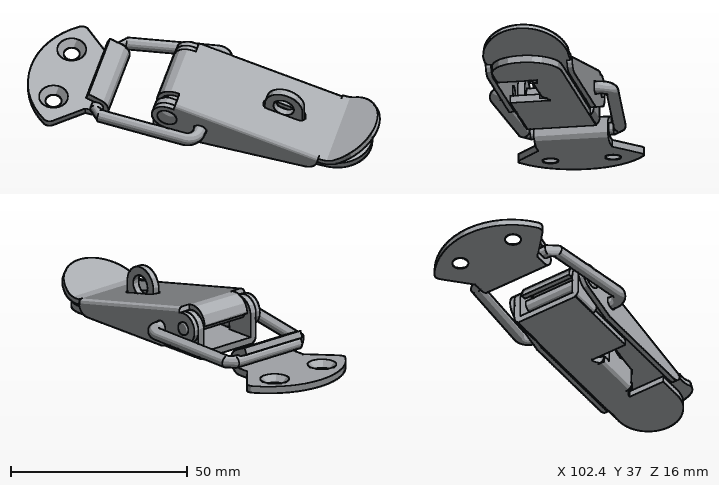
import cadquery as cq
import math

total_length = 102.4
total_width = 37.0
total_height = 16.0

plate_thickness = 2.0
lever_thickness = 1.5

pin_x = 43.8
pin_z = 8.7
pin_diameter = 3.8
pin_head_diameter = 5.7
pin_head_height = 1.0
pin_tail_length = 0.6
pin_tail_round = 0.3

lever_half_width = 12.5
lever_slope = 12.0
lug_radius = 4.5
channel_start_x = 46.1
channel_end = 44.2
wall_bottom_z = 1.0
wall_bottom_slope = 18.0
wall_end_round = 3.6
roll_radius = 5.1
roll_tangent = 0.5
roll_left_y = 8.5
roll_right_y = -7.7
eye_slot_length = 12.4
eye_slot_width = 3.5
paddle_slope = 28.0
paddle_bend_radius = 6.1
paddle_half_width = 12.2
paddle_straight = 0.2

base_front_x = pin_x - lug_radius
base_end_x = 100.4
base_half_width = 9.9
eye_x = 74.9
eye_radius = 5.5
eye_hole_diameter = 6.0
eye_root_start_x = 66.9
eye_root_end_x = 80.8
eye_root_round = 2.6

strike_corner_y = 18.6
strike_corner_x = 10.4
strike_tip_round = 2.0
strike_neck_x = 19.2
strike_neck_half_width = 10.7
hook_inner_radius = 1.7
hook_x = 22.2
hook_slope = 23.0
hook_tip_x = 20.2
screw_x = 9.3
screw_y = 9.0
screw_diameter = 4.5
screw_head_diameter = 8.2
screw_sink_angle = 90.0

wire_diameter = 3.5
bail_x = 22.7
bail_z = 4.2
bail_length = 30.9
bail_tilt = 4.4
bail_spread = 6.4
bail_elbow_radius = 1.8
bail_hole_diameter = 3.8
bail_hook_radius = 3.2

lever_inner_y = lever_half_width - lever_thickness


def polar(centre, radius, degrees):
    """Point at an angle around a centre."""
    angle = math.radians(degrees)
    return (centre[0] + radius * math.cos(angle), centre[1] + radius * math.sin(angle))


def side_sketch(y):
    """XZ sketch plane at a given Y; positive extrusion runs toward -Y."""
    return cq.Workplane("XZ", origin=(0, y, 0))


def cylinder_y(x, z, diameter, y_low, y_high):
    return side_sketch(y_high).center(x, z).circle(diameter / 2).extrude(y_high - y_low)


def lever_point(along, out):
    """XZ point measured from the pin: along the sloping panel, and out from it."""
    along_point = polar((pin_x, pin_z), along, -lever_slope)
    return polar(along_point, out, 90 - lever_slope)


panel_out = lug_radius + lever_thickness


def lever_walls():
    """Two side walls, rounded about the pin and tapering toward the free end."""
    pin_centre = (pin_x, pin_z)
    lower_tangent = polar(pin_centre, lug_radius, 270 - wall_bottom_slope)
    drop = lower_tangent[1] - wall_bottom_z
    bottom_start_x = lower_tangent[0] + drop / math.tan(math.radians(wall_bottom_slope))
    end_top = lever_point(channel_end, lug_radius)
    end_fall = end_top[1] - wall_bottom_z
    bottom_end_x = end_top[0] - end_fall * math.tan(math.radians(lever_slope))
    walls = (
        side_sketch(lever_half_width)
        .moveTo(*lower_tangent)
        .lineTo(bottom_start_x, wall_bottom_z)
        .lineTo(bottom_end_x, wall_bottom_z)
        .lineTo(*end_top)
        .lineTo(*lever_point(0, lug_radius))
        .threePointArc((pin_x - lug_radius, pin_z), lower_tangent)
        .close()
        .extrude(2 * lever_half_width)
    )
    end_corner = cq.selectors.NearestToPointSelector((bottom_end_x, 0, wall_bottom_z))
    walls = walls.edges(end_corner).fillet(wall_end_round)
    inside = cq.Workplane("XY").box(2 * total_length, 2 * lever_inner_y, 2 * total_length)
    return walls.cut(inside)


def lever_panel():
    """Sloping top panel with rounded long edges, and the tongue that leads to the roll."""
    start = (channel_start_x - lever_point(0, panel_out)[0]) / math.cos(math.radians(lever_slope))
    origin = lever_point(start, lug_radius)
    slope = math.radians(lever_slope)
    cross_plane = cq.Plane(
        origin=(origin[0], 0, origin[1]),
        xDir=(0, 1, 0),
        normal=(math.cos(slope), 0, -math.sin(slope)),
    )
    bend = lever_thickness
    panel = (
        cq.Workplane(cross_plane)
        .moveTo(-lever_half_width, 0)
        .radiusArc((-lever_inner_y, bend), bend)
        .lineTo(lever_inner_y, bend)
        .radiusArc((lever_half_width, 0), bend)
        .close()
        .extrude(channel_end - start)
    )
    tongue = (
        side_sketch(roll_left_y)
        .polyline([
            lever_point(roll_tangent, lug_radius),
            lever_point(start, lug_radius),
            lever_point(start, panel_out),
            lever_point(roll_tangent, panel_out),
        ])
        .close()
        .extrude(roll_left_y - roll_right_y)
    )
    return panel.union(tongue)


def lever_roll():
    """Front of the panel curled down over the pin."""
    centre = lever_point(roll_tangent, panel_out - roll_radius)
    inner_radius = roll_radius - lever_thickness
    start_angle = 90 - lever_slope
    middle_angle = (start_angle + 180) / 2
    return (
        side_sketch(roll_left_y)
        .moveTo(*polar(centre, roll_radius, start_angle))
        .threePointArc(polar(centre, roll_radius, middle_angle), polar(centre, roll_radius, 180))
        .lineTo(*polar(centre, inner_radius, 180))
        .threePointArc(polar(centre, inner_radius, middle_angle), polar(centre, inner_radius, start_angle))
        .close()
        .extrude(roll_left_y - roll_right_y)
    )


def lever_paddle():
    """Upward bend and round-ended blade at the free end of the lever."""
    centre = lever_point(channel_end, panel_out + paddle_bend_radius)
    outer_radius = paddle_bend_radius + lever_thickness
    start_angle = 270 - lever_slope
    end_angle = 270 + paddle_slope
    middle_angle = (start_angle + end_angle) / 2
    blade_start = polar(centre, paddle_bend_radius, end_angle)
    bend = (
        side_sketch(paddle_half_width)
        .moveTo(*polar(centre, paddle_bend_radius, start_angle))
        .threePointArc(polar(centre, paddle_bend_radius, middle_angle), blade_start)
        .lineTo(*polar(centre, outer_radius, end_angle))
        .threePointArc(polar(centre, outer_radius, middle_angle), polar(centre, outer_radius, start_angle))
        .close()
        .extrude(2 * paddle_half_width)
    )
    slope = math.radians(paddle_slope)
    reach = total_length - polar(centre, outer_radius, end_angle)[0]
    blade_length = reach / math.cos(slope)
    blade_plane = cq.Plane(
        origin=(blade_start[0], 0, blade_start[1]),
        xDir=(math.cos(slope), 0, math.sin(slope)),
        normal=(-math.sin(slope), 0, math.cos(slope)),
    )
    blade = (
        cq.Workplane(blade_plane)
        .moveTo(0, -paddle_half_width)
        .lineTo(paddle_straight, -paddle_half_width)
        .threePointArc((blade_length, 0), (paddle_straight, paddle_half_width))
        .lineTo(0, paddle_half_width)
        .close()
        .extrude(-lever_thickness)
    )
    return bend.union(blade)


def make_lever():
    lever = lever_walls().union(lever_panel()).union(lever_roll()).union(lever_paddle())
    slot = (
        cq.Workplane("XY", origin=(eye_x, 0, wall_bottom_z))
        .slot2D(eye_slot_length, eye_slot_width)
        .extrude(total_height)
    )
    pin_hole = cylinder_y(pin_x, pin_z, pin_diameter, -lever_half_width, lever_half_width)
    tilt = math.radians(bail_tilt)
    leg_x = bail_x + bail_length * math.cos(tilt)
    leg_z = bail_z + bail_length * math.sin(tilt)
    bail_hole = cylinder_y(leg_x, leg_z, bail_hole_diameter, -lever_half_width, lever_half_width)
    return lever.cut(slot).cut(pin_hole).cut(bail_hole)


notch_back_y = eye_root_round - plate_thickness / 2


def base_floor():
    """Flat round-ended floor, notched from one side back to the padlock eye's root."""
    arc_x = base_end_x - base_half_width
    floor = (
        cq.Workplane("XY")
        .moveTo(base_front_x, -base_half_width)
        .lineTo(arc_x, -base_half_width)
        .threePointArc((base_end_x, 0), (arc_x, base_half_width))
        .lineTo(base_front_x, base_half_width)
        .close()
        .extrude(plate_thickness)
    )
    notch_length = eye_root_end_x - eye_root_start_x + 2 * eye_root_round
    notch = (
        cq.Workplane("XY", origin=(eye_root_start_x - eye_root_round, notch_back_y, 0))
        .rect(notch_length, -total_width, centered=False)
        .extrude(plate_thickness)
    )
    return floor.cut(notch)


def base_lugs():
    """U-shaped front end whose two walls carry the pin."""
    walls = (
        side_sketch(lever_inner_y)
        .moveTo(base_front_x, 0)
        .lineTo(pin_x + lug_radius, 0)
        .lineTo(pin_x + lug_radius, pin_z)
        .threePointArc((pin_x, pin_z + lug_radius), (base_front_x, pin_z))
        .close()
        .extrude(2 * lever_inner_y)
        .edges("<Z and |X")
        .fillet(plate_thickness)
    )
    inside_width = 2 * (lever_inner_y - plate_thickness)
    inside = (
        cq.Workplane("XY", origin=(pin_x, 0, plate_thickness))
        .rect(4 * lug_radius, inside_width)
        .extrude(total_height)
    )
    return walls.cut(inside)


def eye_root():
    """Bend from the floor up into the eye, with a round-cornered web at either end."""
    half_thickness = plate_thickness / 2
    bend_centre = (half_thickness, plate_thickness)
    root = (
        cq.Workplane("YZ", origin=(eye_root_start_x, 0, 0))
        .moveTo(notch_back_y, 0)
        .lineTo(half_thickness, 0)
        .threePointArc(polar(bend_centre, plate_thickness, 225), (-half_thickness, plate_thickness))
        .lineTo(notch_back_y, plate_thickness)
        .close()
        .extrude(eye_root_end_x - eye_root_start_x)
    )
    for corner_x, outward in ((eye_root_start_x, -1), (eye_root_end_x, 1)):
        web_centre = (corner_x + outward * eye_root_round, -half_thickness)
        web = (
            cq.Workplane("XY")
            .moveTo(corner_x, notch_back_y)
            .lineTo(web_centre[0], notch_back_y)
            .threePointArc(
                polar(web_centre, eye_root_round, 90 + outward * 45),
                (corner_x, -half_thickness),
            )
            .close()
            .extrude(plate_thickness)
        )
        root = root.union(web)
    return root


def padlock_eye():
    """Upright round-topped eye, narrower than its root."""
    eye_z = total_height - eye_radius
    eye = (
        side_sketch(plate_thickness / 2)
        .moveTo(eye_x - eye_radius, plate_thickness)
        .lineTo(eye_x + eye_radius, plate_thickness)
        .lineTo(eye_x + eye_radius, eye_z)
        .threePointArc((eye_x, total_height), (eye_x - eye_radius, eye_z))
        .close()
        .extrude(plate_thickness)
    )
    return eye.cut(cylinder_y(eye_x, eye_z, eye_hole_diameter, -plate_thickness, plate_thickness))


def make_base():
    base = base_floor().union(base_lugs()).union(eye_root()).union(padlock_eye())
    return base.cut(cylinder_y(pin_x, pin_z, pin_diameter, -lever_inner_y, lever_inner_y))


def make_pin():
    """Shaft with a domed head on the -Y side and a rounded tail on the +Y side."""
    shaft_end_y = lever_half_width + pin_tail_length
    shaft = cylinder_y(pin_x, pin_z, pin_diameter, -lever_half_width, shaft_end_y)
    shaft = shaft.faces(">Y").edges().fillet(pin_tail_round)
    head_radius = pin_head_diameter / 2
    dome_radius = (head_radius**2 + pin_head_height**2) / (2 * pin_head_height)
    dome_centre_y = -lever_half_width - pin_head_height + dome_radius
    dome = cq.Workplane("XY", origin=(pin_x, dome_centre_y, pin_z)).sphere(dome_radius)
    head_zone = cylinder_y(
        pin_x, pin_z, pin_head_diameter, -lever_half_width - pin_head_height, -lever_half_width
    )
    return shaft.union(dome.intersect(head_zone))


def wire_section(centre, direction):
    """Round wire section at a point of the flat bail, square to the wire's direction."""
    plane = cq.Plane(origin=(*centre, 0), xDir=(0, 0, 1), normal=(*direction, 0))
    return cq.Workplane(plane).circle(wire_diameter / 2)


def make_bail():
    """Bail laid flat with its cross bar on the Y axis, then tilted into place."""
    spread = math.radians(bail_spread)
    arm_direction = (math.cos(spread), math.sin(spread))
    widest_y = (total_width - wire_diameter) / 2
    elbow_set = bail_elbow_radius * math.tan((math.pi / 2 - spread) / 2)
    hook_set = bail_hook_radius * math.tan((math.pi / 2 + spread) / 2)
    hook_end = (bail_length, widest_y - bail_hook_radius)
    leg_corner_y = hook_end[1] + hook_set
    bar_corner_y = leg_corner_y - bail_length * math.tan(spread)
    hook_start = (
        bail_length - hook_set * arm_direction[0],
        leg_corner_y - hook_set * arm_direction[1],
    )
    arm_start = (elbow_set * arm_direction[0], bar_corner_y + elbow_set * arm_direction[1])
    bar_end = (0, bar_corner_y - elbow_set)

    bar = wire_section((0, -bar_end[1]), (0, 1)).extrude(2 * bar_end[1])
    elbow_ends = [
        wire_section(bar_end, (0, 1)).val(),
        wire_section(arm_start, arm_direction).val(),
    ]
    elbow = cq.Workplane(cq.Solid.makeLoft(elbow_ends, True))
    arm_path = (
        cq.Workplane("XY")
        .moveTo(*arm_start)
        .lineTo(*hook_start)
        .tangentArcPoint(hook_end, relative=False)
        .lineTo(bail_length, lever_inner_y)
    )
    arm = wire_section(arm_start, arm_direction).sweep(arm_path)
    side = elbow.union(arm)
    bail = bar.union(side).union(side.mirror("XZ"))
    return bail.rotate((0, 0, 0), (0, 1, 0), -bail_tilt).translate((bail_x, 0, bail_z))


def strike_blade():
    """Flat fan-shaped plate with two countersunk screw holes."""
    outline = (
        cq.Workplane("XY")
        .moveTo(hook_x, -strike_neck_half_width)
        .lineTo(hook_x, strike_neck_half_width)
        .lineTo(strike_neck_x, strike_neck_half_width)
        .lineTo(strike_corner_x, strike_corner_y)
        .threePointArc((0, 0), (strike_corner_x, -strike_corner_y))
        .lineTo(strike_neck_x, -strike_neck_half_width)
        .close()
        .extrude(plate_thickness)
    )
    for side in (-1, 1):
        corner_point = (strike_corner_x, side * strike_corner_y, plate_thickness / 2)
        corner = cq.selectors.NearestToPointSelector(corner_point)
        outline = outline.edges(corner).fillet(strike_tip_round)
    screws = [(screw_x, -screw_y), (screw_x, screw_y)]
    return (
        outline.faces(">Z")
        .workplane(origin=(0, 0, 0))
        .pushPoints(screws)
        .cskHole(screw_diameter, screw_head_diameter, screw_sink_angle)
    )


def strike_hook():
    """Upturned end that curls back over the bail's cross bar."""
    outer_radius = hook_inner_radius + plate_thickness
    centre = (hook_x, outer_radius)
    end_angle = 90 - hook_slope
    outer_end = polar(centre, outer_radius, end_angle)
    lip_length = (outer_end[0] - hook_tip_x) / math.cos(math.radians(hook_slope))
    outer_tip = polar(outer_end, lip_length, 180 - hook_slope)
    inner_tip = polar(outer_tip, plate_thickness, 270 - hook_slope)
    return (
        side_sketch(strike_neck_half_width)
        .moveTo(hook_x, 0)
        .threePointArc(polar(centre, outer_radius, 0), outer_end)
        .lineTo(*outer_tip)
        .lineTo(*inner_tip)
        .lineTo(*polar(centre, hook_inner_radius, end_angle))
        .threePointArc(polar(centre, hook_inner_radius, 0), (hook_x, plate_thickness))
        .close()
        .extrude(2 * strike_neck_half_width)
    )


def make_strike(bail):
    """Strike plate whose hook is grooved to seat the bail's cross bar."""
    return strike_blade().union(strike_hook()).cut(bail)


bail = make_bail()
base = make_base()
pin = make_pin()
lever = make_lever()
strike = make_strike(bail)

result = cq.Compound.makeCompound([strike.val(), bail.val(), base.val(), pin.val(), lever.val()])